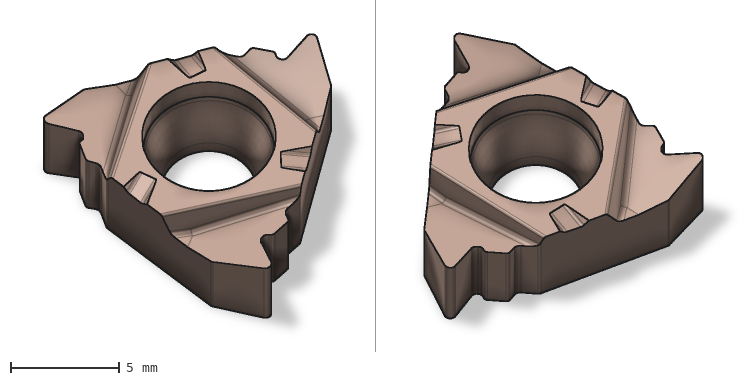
import cadquery as cq
import math

TEETH = 3
INDEX_ANGLE = 360 / TEETH
THICKNESS = 4.26
WIDEST = 13.41
FACE_DISTANCE = 4.76

HALF_ANGLE = math.radians(27.5)
TIP_RADIUS = 0.28
TIP_CENTER_Y = -6.62
RELIEF_Y = -5.39
RELIEF_RADIUS = 0.28
CREST_Y = -5.7
CREST_START_X = -1.84
CREST_END_X = -0.75
CREST_RADIUS = 0.2
SHOULDER_Y = -5.14
SHOULDER_SLOPE = math.radians(60)
SHOULDER_RADIUS = 0.34
TOOTH_START_RADIUS = 0.17
TOOTH_END_RADIUS = 0.24

BORE_RADIUS = 2.2
MOUTH_RADIUS = 3.08
WALL_END_RADIUS = 3.02
WALL_DEPTH = 1.09
SEAT_START_RADIUS = 2.94
SEAT_START_DEPTH = 1.26
SEAT_END_DEPTH = 3.58
SEAT_ARC_RADIUS = 4.02

RAKE_ANGLE = math.radians(10)
TIP_HEIGHT = 3.95
POCKET_FOOT_X = 4.21
POCKET_WALL_ANGLE = math.radians(109)
POCKET_WALL_HEIGHT = 1.61
POCKET_RADIUS = 0.32
POCKET_REACH = 6.7
TOLERANCE = 0.01
RUNOUT_HEIGHT = 3.27
RUNOUT_ANGLE = math.radians(4.5)
RIM_RADIUS = 0.16
RIM_X = 3.69

NOTCH_FLOOR_WIDTH = 0.86
NOTCH_SIDE_ANGLE = math.radians(40)
NOTCH_RADIUS = 0.27
NOTCH_DEPTH = 0.24
NOTCH_RAMP = 10.0
NOTCH_TURN = 13.3
NOTCH_CENTER_Y = 0.27
NOTCH_LENGTH = 1.29
NOTCH_LEAD = 0.54
NOTCH_HEIGHT = 0.72


def rotate_point(x, y, degrees):
    """Turn a point about the hole axis."""
    a = math.radians(degrees)
    return x * math.cos(a) - y * math.sin(a), x * math.sin(a) + y * math.cos(a)


def rounded_outline(corners):
    """Closed wire through (x, y, radius) corners, each rounded by its radius."""
    arcs = []
    for i, (x, y, radius) in enumerate(corners):
        next_corner = corners[(i + 1) % len(corners)]
        here = cq.Vector(x, y)
        back = (cq.Vector(*corners[i - 1][:2]) - here).normalized()
        ahead = (cq.Vector(*next_corner[:2]) - here).normalized()
        half = back.getAngle(ahead) / 2
        setback = radius / math.tan(half)
        bisector = (back + ahead).normalized()
        middle = here + bisector * (radius / math.sin(half) - radius)
        arcs.append((here + back * setback, middle, here + ahead * setback))
    last_end = arcs[-1][2]
    outline = cq.Workplane("XY").moveTo(last_end.x, last_end.y)
    for start, middle, end in arcs:
        outline = outline.lineTo(start.x, start.y)
        outline = outline.threePointArc((middle.x, middle.y), (end.x, end.y))
    return outline.close()


def tooth_corners():
    """Sharp corners of one tooth, counterclockwise, each with its rounding radius."""
    index = math.radians(INDEX_ANGLE)
    center_span = WIDEST - 2 * TIP_RADIUS
    tip_x = -(center_span + (1 - math.cos(index)) * TIP_CENTER_Y) / math.sin(index)
    tip_y = TIP_CENTER_Y - TIP_RADIUS / math.sin(HALF_ANGLE)
    start_y = tip_y + (tip_x + FACE_DISTANCE) / math.tan(HALF_ANGLE)
    relief_start_x = tip_x + (RELIEF_Y - tip_y) * math.tan(HALF_ANGLE)
    relief_end_x = CREST_START_X - (RELIEF_Y - CREST_Y) / math.tan(SHOULDER_SLOPE)
    shoulder_x = CREST_END_X + (SHOULDER_Y - CREST_Y) / math.tan(SHOULDER_SLOPE)
    normal_x, normal_y = rotate_point(-1, 0, INDEX_ANGLE)
    end_x = (FACE_DISTANCE - SHOULDER_Y * normal_y) / normal_x
    return [
        (-FACE_DISTANCE, start_y, TOOTH_START_RADIUS),
        (tip_x, tip_y, TIP_RADIUS),
        (relief_start_x, RELIEF_Y, RELIEF_RADIUS),
        (relief_end_x, RELIEF_Y, RELIEF_RADIUS),
        (CREST_START_X, CREST_Y, CREST_RADIUS),
        (CREST_END_X, CREST_Y, CREST_RADIUS),
        (shoulder_x, SHOULDER_Y, SHOULDER_RADIUS),
        (end_x, SHOULDER_Y, TOOTH_END_RADIUS),
    ]


def make_blank():
    """Plain block with the outline of all the teeth."""
    corners = []
    for i in range(TEETH):
        for x, y, radius in tooth_corners():
            corners.append((*rotate_point(x, y, i * INDEX_ANGLE), radius))
    return rounded_outline(corners).extrude(THICKNESS)


def make_hole():
    """Revolved screw hole: steep wall, flared seat and straight bore."""
    seat_top = THICKNESS - SEAT_START_DEPTH
    seat_end = THICKNESS - SEAT_END_DEPTH
    return (
        cq.Workplane("XZ")
        .moveTo(0, 0)
        .lineTo(BORE_RADIUS, 0)
        .lineTo(BORE_RADIUS, seat_end)
        .radiusArc((SEAT_START_RADIUS, seat_top), SEAT_ARC_RADIUS)
        .lineTo(WALL_END_RADIUS, THICKNESS - WALL_DEPTH)
        .lineTo(MOUTH_RADIUS, THICKNESS)
        .lineTo(0, THICKNESS)
        .close()
        .revolve(360, (0, 0), (0, 1))
    )


def make_pocket():
    """Chip pocket of the tooth turned toward +X; its back wall runs close to Y."""
    rake_rise = math.tan(RAKE_ANGLE)
    uphill_x, uphill_y = rotate_point(0, -1, INDEX_ANGLE)
    tip_reach = TIP_RADIUS - TIP_CENTER_Y
    foot_z = TIP_HEIGHT - rake_rise * (tip_reach - POCKET_FOOT_X * uphill_x)
    foot = cq.Vector(POCKET_FOOT_X, 0, foot_z)
    groove = cq.Vector(0, 1, rake_rise * uphill_y).normalized()
    rake_normal = cq.Vector(-rake_rise * uphill_x, -rake_rise * uphill_y, 1)
    across = groove.cross(rake_normal)
    wall_top_x = POCKET_WALL_HEIGHT / math.tan(POCKET_WALL_ANGLE)
    wedge = (
        cq.Workplane(cq.Plane(foot, across, groove * -1))
        .polyline([
            (0, 0),
            (POCKET_REACH, 0),
            (POCKET_REACH, POCKET_WALL_HEIGHT),
            (wall_top_x, POCKET_WALL_HEIGHT),
        ])
        .close()
        .extrude(POCKET_REACH, both=True)
    )
    side_x, side_y = rotate_point(-1, 0, INDEX_ANGLE)
    floor_rise = math.tan(RUNOUT_ANGLE)
    floor_normal = cq.Vector(-side_x * floor_rise, -side_y * floor_rise, 1)
    floor_origin = cq.Vector(side_x * FACE_DISTANCE, side_y * FACE_DISTANCE, RUNOUT_HEIGHT)
    below_floor = (
        cq.Workplane(cq.Plane(floor_origin, (-side_y, side_x, 0), floor_normal))
        .rect(4 * POCKET_REACH, 4 * POCKET_REACH)
        .extrude(-2 * POCKET_REACH)
    )
    pocket = wedge.cut(below_floor)
    foot_edges = cq.selectors.BoxSelector(
        (-POCKET_REACH, -POCKET_REACH, 0),
        (POCKET_FOOT_X + TOLERANCE, POCKET_REACH, THICKNESS),
    )
    return pocket.edges(foot_edges).fillet(POCKET_RADIUS)


def make_notch():
    """Ramped chip notch on the -X side face."""
    half = NOTCH_FLOOR_WIDTH / 2
    top_half = half + NOTCH_HEIGHT / math.tan(NOTCH_SIDE_ANGLE)
    return (
        cq.Workplane("YZ")
        .polyline([(-half, 0), (half, 0), (top_half, NOTCH_HEIGHT), (-top_half, NOTCH_HEIGHT)])
        .close()
        .extrude(NOTCH_LENGTH + NOTCH_LEAD)
        .edges("|X and <Z")
        .fillet(NOTCH_RADIUS)
        .translate((-NOTCH_LEAD, 0, 0))
        .rotate((0, 0, 0), (0, 1, 0), -NOTCH_RAMP)
        .rotate((0, 0, 0), (0, 0, 1), NOTCH_TURN)
        .translate((-FACE_DISTANCE, NOTCH_CENTER_Y, THICKNESS - NOTCH_DEPTH))
    )


result = make_blank().cut(make_hole())
pocket = make_pocket()
notch = make_notch()
for i in range(TEETH):
    turn = i * INDEX_ANGLE
    result = result.cut(pocket.rotate((0, 0, 0), (0, 0, 1), turn))
    rim_x, rim_y = rotate_point(RIM_X, 0, turn)
    rim = cq.selectors.NearestToPointSelector((rim_x, rim_y, THICKNESS))
    result = result.edges(rim).fillet(RIM_RADIUS)
for i in range(TEETH):
    result = result.cut(notch.rotate((0, 0, 0), (0, 0, 1), i * INDEX_ANGLE))